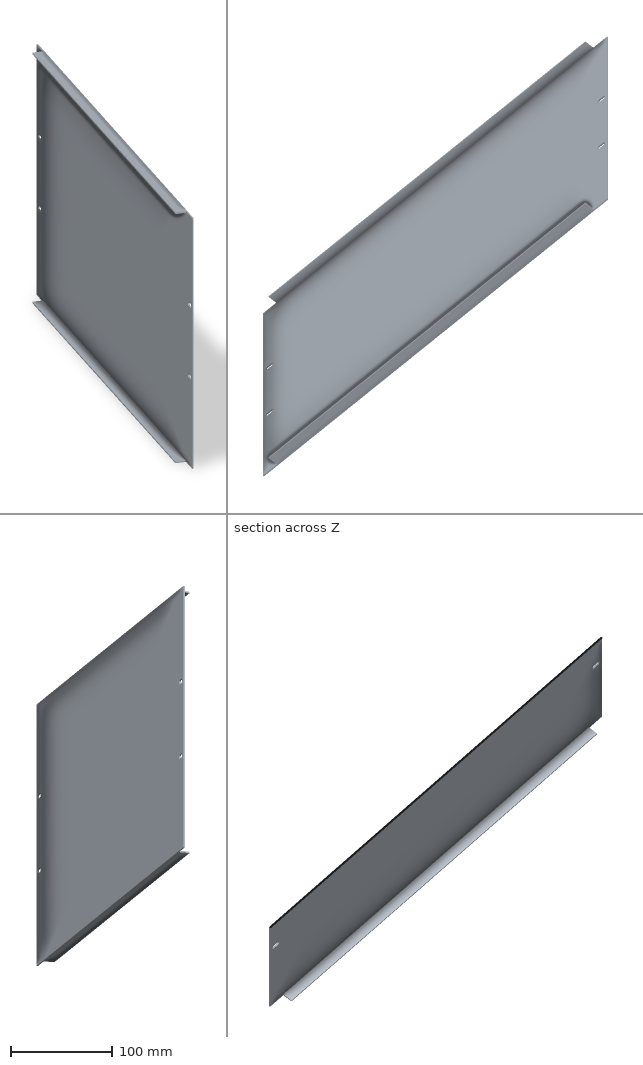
import cadquery as cq

panel_width = 482.0
panel_height = 267.0
sheet_thickness = 1.5

overall_depth = 12.5
flange_end_gap = 19.5
flange_width = panel_width - 2 * flange_end_gap

slot_length = 10.0
slot_height = 4.5
slot_edge_distance = 8.5
slot_spacing_x = panel_width - 2 * slot_edge_distance
slot_spacing_z = 76.0


def make_panel():
    return cq.Workplane("XY").box(
        panel_width, sheet_thickness, panel_height
    ).translate((0, -sheet_thickness / 2, 0))


def make_flange(side):
    """Flange on the top edge (side = 1) or the bottom edge (side = -1)."""
    center_z = side * (panel_height - sheet_thickness) / 2
    return cq.Workplane("XY").box(
        flange_width, overall_depth, sheet_thickness
    ).translate((0, -overall_depth / 2, center_z))


def make_slots():
    return (
        cq.Workplane("XZ")
        .rarray(slot_spacing_x, slot_spacing_z, 2, 2)
        .slot2D(slot_length, slot_height)
        .extrude(sheet_thickness)
    )


result = make_panel()
for side in (1, -1):
    result = result.union(make_flange(side))
result = result.cut(make_slots())